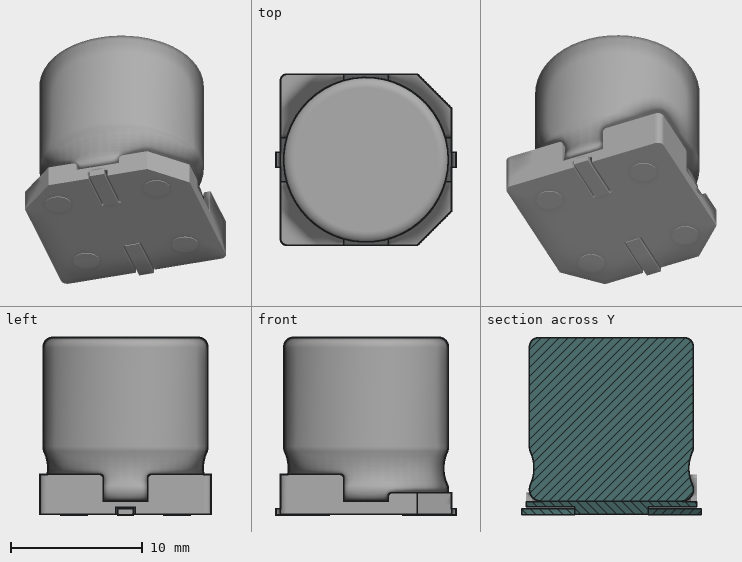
import cadquery as cq
import math

total_height = 13.5
base_width = 13.0
lead_span = 13.7

standoff = 0.05
floor_z = 1.05
high_post_z = 3.1
low_post_z = 1.7
post_gap = 3.35
post_edge_fillet = 0.3
small_corner_radius = 0.5
large_corner_chamfer = 2.6
foot_radius = 1.0
foot_offset = 3.9

can_radius = 6.25
top_fillet = 0.75
neck_radius = 5.9
neck_arc_radius = 3.0
lip_radius = 0.9

lead_width = 1.15
lead_thickness = 0.5
lead_inner_x = 2.8
slot_width = 1.5
slot_top_z = 0.6

half_base = base_width / 2


def make_can():
    """Solid of revolution: flat ends, rounded top edge and a crimped neck."""
    lip_center_r = can_radius - lip_radius
    neck_center_r = neck_radius + neck_arc_radius
    radius_sum = neck_arc_radius + lip_radius
    rise = math.sqrt(radius_sum**2 - (neck_center_r - lip_center_r) ** 2)
    lower_lip_z = floor_z + lip_radius
    neck_z = lower_lip_z + rise
    upper_lip_z = neck_z + rise

    lip_share = lip_radius / radius_sum
    tangent_r = lip_center_r + lip_share * (neck_center_r - lip_center_r)
    tangent_dz = lip_share * rise

    profile = (
        cq.Workplane("XZ")
        .moveTo(0, floor_z)
        .lineTo(lip_center_r, floor_z)
        .threePointArc((can_radius, lower_lip_z), (tangent_r, lower_lip_z + tangent_dz))
        .threePointArc((neck_radius, neck_z), (tangent_r, upper_lip_z - tangent_dz))
        .tangentArcPoint((can_radius, upper_lip_z), relative=False)
        .lineTo(can_radius, total_height)
        .lineTo(0, total_height)
        .close()
    )
    can = profile.revolve(360, (0, 0), (0, 1))
    return can.faces(">Z").edges().fillet(top_fillet)


def make_base_blank():
    """Plate with four corner posts, before the outer corners are shaped."""
    plate = (
        cq.Workplane("XY", origin=(0, 0, standoff))
        .box(base_width, base_width, floor_z - standoff, centered=(True, True, False))
    )
    post_width = half_base - post_gap / 2
    post_center = half_base - post_width / 2
    for side_x, top_z in ((-1, high_post_z), (1, low_post_z)):
        for side_y in (-1, 1):
            post = (
                cq.Workplane("XY", origin=(side_x * post_center, side_y * post_center, standoff))
                .box(post_width, post_width, top_z - standoff, centered=(True, True, False))
            )
            inner_x = "<X" if side_x > 0 else ">X"
            inner_y = "<Y" if side_y > 0 else ">Y"
            post = post.faces(">Z").edges(f"{inner_x} or {inner_y}").fillet(post_edge_fillet)
            plate = plate.union(post)
    return plate


def base_envelope():
    """Prism with the base outline: two rounded and two chamfered corners."""
    return (
        cq.Workplane("XY", origin=(0, 0, standoff))
        .box(base_width, base_width, high_post_z - standoff, centered=(True, True, False))
        .edges("|Z and <X")
        .fillet(small_corner_radius)
        .edges("|Z and >X")
        .chamfer(large_corner_chamfer)
    )


def lead_bar(side, width, top_z, bottom_z, outer_x):
    """Bar along X from the lead's inner end to outer_x, on the given side."""
    length = outer_x - lead_inner_x
    return (
        cq.Workplane("XY", origin=(side * (lead_inner_x + length / 2), 0, bottom_z))
        .box(length, width, top_z - bottom_z, centered=(True, True, False))
    )


def make_base():
    base = make_base_blank().intersect(base_envelope())

    seat = (
        cq.Workplane("XY", origin=(0, 0, floor_z))
        .circle(can_radius)
        .extrude(high_post_z - floor_z)
    )
    base = base.cut(seat)

    for side in (-1, 1):
        base = base.cut(lead_bar(side, slot_width, slot_top_z, standoff, half_base))

    feet = (
        cq.Workplane("XY")
        .rect(2 * foot_offset, 2 * foot_offset, forConstruction=True)
        .vertices()
        .circle(foot_radius)
        .extrude(standoff)
    )
    return base.union(feet)


def make_lead(side):
    return lead_bar(side, lead_width, lead_thickness, 0, lead_span / 2)


can = make_can()
base = make_base()
leads = [make_lead(side).val() for side in (-1, 1)]

result = cq.Compound.makeCompound([can.val(), base.val(), *leads])